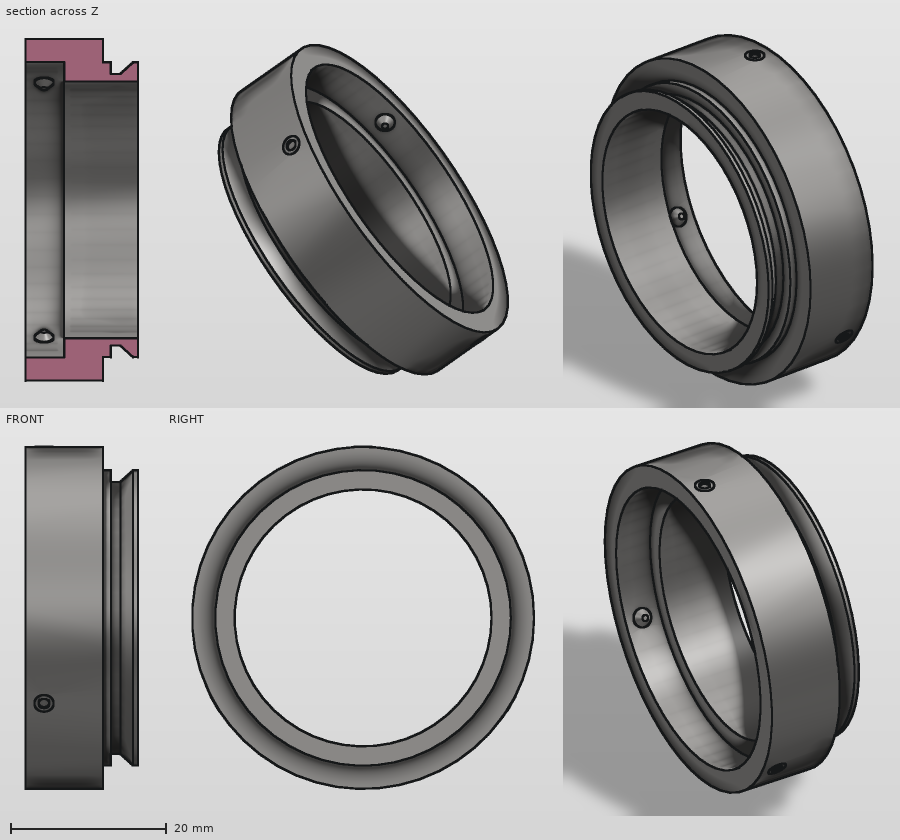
import cadquery as cq

BODY_DIAMETER = 44.0
BODY_LENGTH = 10.0
BORE_DIAMETER = 33.0

RECESS_DIAMETER = 38.0
RECESS_DEPTH = 5.0

SPIGOT_DIAMETER = 38.0
NECK_DIAMETER = 35.0
SHOULDER_LENGTH = 1.0
NECK_LENGTH = 1.2
RIM_LENGTH = 0.65
TOTAL_LENGTH = 14.5

SCREW_COUNT = 3
SCREW_DIAMETER = 2.5
SCREW_X = 2.4
SCREW_HEAD_RADIUS = 22.02
SCREW_TIP_RADIUS = 18.0
SCREW_TIP_DIAMETER = 0.8
HEAD_CHAMFER_WIDTH = 0.2
HEAD_CHAMFER_HEIGHT = 0.05
SOCKET_DIAMETER = 1.4
SOCKET_DEPTH = 0.3


def make_ring():
    """Revolve the ring section, drawn as (x, radius), about the X axis."""
    body_r = BODY_DIAMETER / 2
    bore_r = BORE_DIAMETER / 2
    recess_r = RECESS_DIAMETER / 2
    spigot_r = SPIGOT_DIAMETER / 2
    neck_r = NECK_DIAMETER / 2
    neck_start = BODY_LENGTH + SHOULDER_LENGTH
    neck_end = neck_start + NECK_LENGTH
    rim_start = TOTAL_LENGTH - RIM_LENGTH
    section = [
        (0, recess_r),
        (0, body_r),
        (BODY_LENGTH, body_r),
        (BODY_LENGTH, spigot_r),
        (neck_start, spigot_r),
        (neck_start, neck_r),
        (neck_end, neck_r),
        (rim_start, spigot_r),
        (TOTAL_LENGTH, spigot_r),
        (TOTAL_LENGTH, bore_r),
        (RECESS_DEPTH, bore_r),
        (RECESS_DEPTH, recess_r),
    ]
    return cq.Workplane("XY").polyline(section).close().revolve(360, (0, 0, 0), (1, 0, 0))


def make_screw():
    """Set screw pointing at the ring axis from above, with a chamfered, socketed head."""
    screw_r = SCREW_DIAMETER / 2
    tip_r = SCREW_TIP_DIAMETER / 2
    socket_r = SOCKET_DIAMETER / 2
    cone_start = SCREW_TIP_RADIUS + screw_r - tip_r
    socket_floor = SCREW_HEAD_RADIUS - SOCKET_DEPTH
    half_section = [
        (0, SCREW_TIP_RADIUS),
        (tip_r, SCREW_TIP_RADIUS),
        (screw_r, cone_start),
        (screw_r, SCREW_HEAD_RADIUS - HEAD_CHAMFER_HEIGHT),
        (screw_r - HEAD_CHAMFER_WIDTH, SCREW_HEAD_RADIUS),
        (socket_r, SCREW_HEAD_RADIUS),
        (socket_r, socket_floor),
        (0, socket_floor),
    ]
    screw = cq.Workplane("XZ").polyline(half_section).close().revolve(360, (0, 0, 0), (0, 1, 0))
    return screw.translate((SCREW_X, 0, 0))


def make_screw_hole():
    """Cutter for a radial hole from the recess out through the ring wall."""
    hole = cq.Workplane("XY", origin=(SCREW_X, 0, SCREW_TIP_RADIUS))
    return hole.circle(SCREW_DIAMETER / 2).extrude(BODY_DIAMETER / 2)


def around_axis(shape, index):
    """Turn a shape to its place in the circular pattern about the X axis."""
    return shape.rotate((0, 0, 0), (1, 0, 0), index * 360 / SCREW_COUNT)


result = make_ring()
for i in range(SCREW_COUNT):
    result = result.cut(around_axis(make_screw_hole(), i))
    result = result.union(around_axis(make_screw(), i))